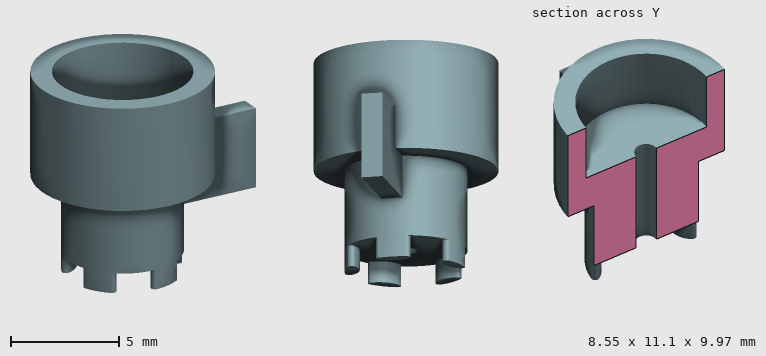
import cadquery as cq

collar_diameter = 8.55
collar_height = 5.17
cup_diameter = 6.55
cup_floor_thickness = 2.0

stem_diameter = 5.7
stem_height = 3.8
bore_diameter = 1.1

tooth_count = 5
tooth_height = 1.0
tooth_inner_arc_radius = 1.15
tooth_inner_arc_offset = 3.3
tooth_corner_radius = 0.2
first_tooth_angle = 90.0

tail_width = 1.0
tail_height = 4.0
tail_reach = 6.81
tail_root = 2.4

collar_bottom = tooth_height + stem_height
cup_floor = collar_bottom + cup_floor_thickness


def cylinder(diameter, bottom, height):
    """Upright cylinder on the Z axis."""
    return cq.Workplane("XY", origin=(0, 0, bottom)).circle(diameter / 2).extrude(height)


def make_body():
    """Collar and stem, solid, with the stem running down to the tooth tips."""
    collar = cylinder(collar_diameter, collar_bottom, collar_height)
    stem = cylinder(stem_diameter, 0, collar_bottom)
    return collar.union(stem)


def make_tooth(angle):
    """One tooth, pointing outward at the given angle from +X."""
    outer = cylinder(stem_diameter, 0, tooth_height)
    inner = (
        cq.Workplane("XY")
        .center(tooth_inner_arc_offset, 0)
        .circle(tooth_inner_arc_radius)
        .extrude(tooth_height)
    )
    tooth = outer.intersect(inner).edges("|Z").fillet(tooth_corner_radius)
    return tooth.rotate((0, 0, 0), (0, 0, 1), angle)


def make_tooth_clearance():
    """Everything to remove from the foot of the stem so that only the teeth remain."""
    clearance = cylinder(collar_diameter, 0, tooth_height)
    for index in range(tooth_count):
        clearance = clearance.cut(make_tooth(first_tooth_angle + index * 360 / tooth_count))
    return clearance


def make_tail():
    """Fin from inside the stem wall outward along +Y, centred on the collar's lower face."""
    return (
        cq.Workplane("XY")
        .box(tail_width, tail_reach - tail_root, tail_height, centered=(True, False, True))
        .translate((0, tail_root, collar_bottom))
    )


result = make_body().cut(make_tooth_clearance()).union(make_tail())
result = result.cut(cylinder(cup_diameter, cup_floor, collar_height - cup_floor_thickness))
result = result.cut(cylinder(bore_diameter, tooth_height, cup_floor - tooth_height))